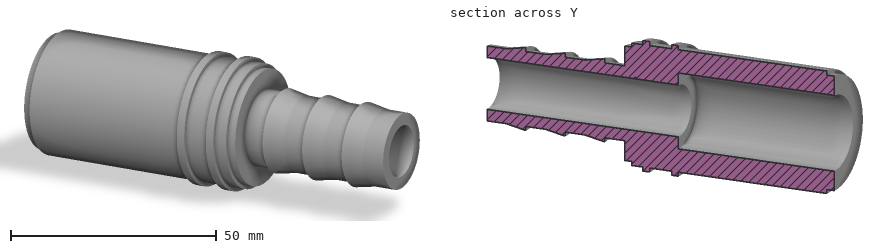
import cadquery as cq


total_length = 96.0

rib_diameter = 33.0
diameter_step = 2.0
body_diameter = rib_diameter - diameter_step
end_diameter = body_diameter - diameter_step
end_land_length = 2.0
sleeve_length = 58.0
rib_starts = (43.0, 51.0)
rib_width = 2.0

tail_diameter = 19.0
barb_diameter = 21.0
barb_count = 3
stretch_length = (total_length - sleeve_length) / (2 * barb_count + 1)

socket_diameter = tail_diameter
socket_depth = rib_starts[0]
through_bore_diameter = 13.0


def cylinder(start, length, diameter):
    """Solid cylinder on the X axis, beginning at X = start."""
    return cq.Workplane("YZ").workplane(offset=start).circle(diameter / 2).extrude(length)


def barb(start):
    """Ring whose steep shoulder faces the sleeve and which tapers down to the tail."""
    return (
        cq.Workplane("XZ")
        .moveTo(start, 0)
        .lineTo(start, barb_diameter / 2)
        .lineTo(start + stretch_length, tail_diameter / 2)
        .lineTo(start + stretch_length, 0)
        .close()
        .revolve(360, (0, 0, 0), (1, 0, 0))
    )


result = cylinder(0, sleeve_length, end_diameter)
body_length = sleeve_length - 2 * end_land_length
result = result.union(cylinder(end_land_length, body_length, body_diameter))
for rib_start in rib_starts:
    result = result.union(cylinder(rib_start, rib_width, rib_diameter))

result = result.union(cylinder(0, total_length, tail_diameter))
for index in range(barb_count):
    barb_start = sleeve_length + (2 * index + 1) * stretch_length
    result = result.union(barb(barb_start))

result = result.cut(cylinder(0, socket_depth, socket_diameter))
result = result.cut(cylinder(0, total_length, through_bore_diameter))